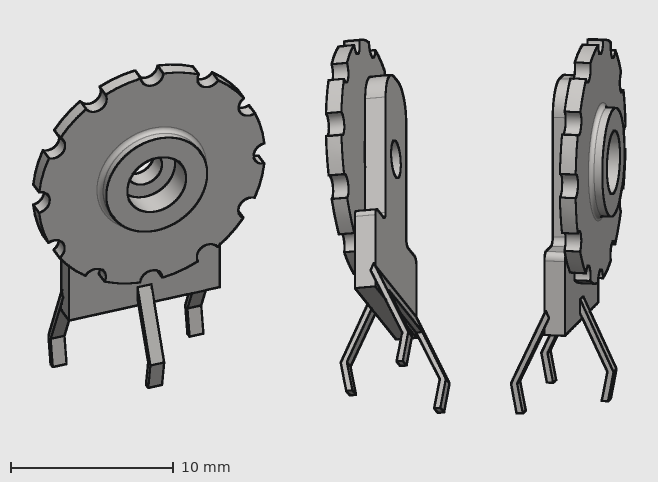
import cadquery as cq
import math


plate_thickness = 1.3
plate_bottom = 5.0
shoulder_height = 10.15
plate_top = 20.14
base_width = 10.0
tongue_width = 5.0
tongue_radius = 2.0
shoulder_radius = 0.5
plate_bore_diameter = 2.33

overall_height = 22.4
wheel_gap = 0.2
wheel_radius = 7.5
wheel_thickness = 0.99
wheel_bore_diameter = 3.9
notch_count = 12
notch_radius = 0.75
notch_turn = -0.25
hub_diameter = 6.7
hub_height = 0.8
hub_fillet = 0.3

overall_x = 5.49
bend_height = 1.85
bend_outer = overall_x / 2
bend_inner = 2.35
foot_outer = 2.4
foot_inner = 2.0
root_outer = 0.55
root_outer_height = 6.52
root_inner = 0.347
root_inner_height = 6.07
leg_width = 0.92
fork_bar_bottom = 5.02

plate_middle = plate_thickness / 2
wheel_start = plate_thickness + wheel_gap
wheel_end = wheel_start + wheel_thickness

notch_half_angle = 2 * math.asin(notch_radius / (2 * wheel_radius))
rim_corner_angle = notch_half_angle - math.radians(abs(notch_turn))
axis_height = overall_height - wheel_radius * math.cos(rim_corner_angle)


def disc(radius, start, length):
    """Cylinder on the wheel axis."""
    return cq.Workplane("YZ", origin=(start, 0, axis_height)).circle(radius).extrude(length)


def bent_strip(side, width):
    """Bent terminal sheet, centred on Y; side is -1 or +1 along X."""
    profile = [
        (root_outer, root_outer_height),
        (bend_outer, bend_height),
        (foot_outer, 0),
        (foot_inner, 0),
        (bend_inner, bend_height),
        (root_inner, root_inner_height),
    ]
    points = [(plate_middle + side * offset, height) for offset, height in profile]
    return cq.Workplane("XZ").polyline(points).close().extrude(width / 2, both=True)


def make_fork():
    """Full-width bar, bent outward, with a leg at each end."""
    window = cq.Workplane("XY").box(
        overall_x, base_width - 2 * leg_width, fork_bar_bottom, centered=(True, True, False)
    )
    return bent_strip(-1, base_width).cut(window)


def make_plate(fork):
    """Stepped plate with the middle terminal, a bore and the recess holding the fork."""
    half_base = base_width / 2
    half_tongue = tongue_width / 2
    outline = [
        (-half_base, plate_bottom),
        (half_base, plate_bottom),
        (half_base, shoulder_height),
        (half_tongue, shoulder_height),
        (half_tongue, plate_top),
        (-half_tongue, plate_top),
        (-half_tongue, shoulder_height),
        (-half_base, shoulder_height),
    ]
    body = cq.Workplane("YZ").polyline(outline).close().extrude(plate_thickness)
    shoulder_zone = cq.selectors.BoxSelector(
        (0, -base_width, shoulder_height - shoulder_radius),
        (plate_thickness, base_width, shoulder_height + shoulder_radius),
    )
    body = body.edges("|X").edges(shoulder_zone).fillet(shoulder_radius)
    body = body.faces(">Z").edges("|X").fillet(tongue_radius)
    body = body.cut(disc(plate_bore_diameter / 2, 0, plate_thickness))
    return body.union(bent_strip(1, leg_width)).cut(fork)


def make_wheel():
    """Notched disc with a filleted hub and a through bore."""
    wheel = disc(wheel_radius, wheel_start, wheel_thickness)
    wheel = wheel.union(disc(hub_diameter / 2, wheel_end, hub_height))
    hub_root = cq.selectors.RadiusNthSelector(0)
    wheel = wheel.faces("<X[1]").edges(hub_root).fillet(hub_fillet)
    wheel = wheel.cut(disc(wheel_bore_diameter / 2, wheel_start, wheel_thickness + hub_height))
    for index in range(notch_count):
        angle = math.radians(index * 360 / notch_count + notch_turn)
        across = wheel_radius * math.cos(angle)
        up = axis_height + wheel_radius * math.sin(angle)
        notch = cq.Workplane("YZ", origin=(wheel_start, across, up)).circle(notch_radius)
        wheel = wheel.cut(notch.extrude(wheel_thickness))
    return wheel


fork = make_fork()
plate = make_plate(fork)
wheel = make_wheel()

result = cq.Compound.makeCompound([plate.val(), fork.val(), wheel.val()])